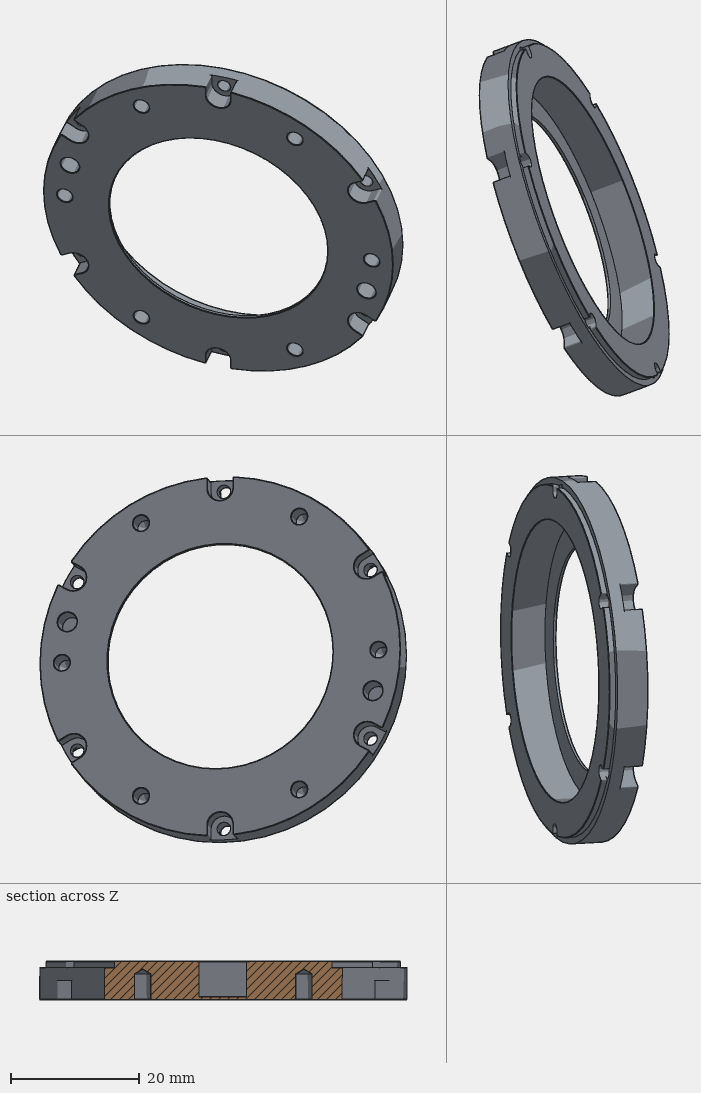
import cadquery as cq
import math

outer_radius = 28.5
bore_radius = 17.8
thickness = 6.0
spigot_height = 1.0
spigot_setback = 1.0
spigot_radius = outer_radius - spigot_setback
edge_chamfer = 0.1

lip_thickness = 0.5
counterbore_radius = 22.0

screw_count = 6
screw_circle_radius = 26.75
screw_start_angle = 30.0
screw_hole_radius = 1.05
screw_pocket_radius = 2.0
screw_pocket_depth = 3.0
mouth_fillet = 0.25

blind_circle_radius = 25.0
tapped_count = 6
tapped_radius = 1.25
tapped_depth = 4.0
drill_point_angle = 118.0
dowel_angles = (165.0, 345.0)
dowel_radius = 1.5
dowel_depth = 4.0


def ring_body():
    """Flanged ring with a reduced spigot on the back and a counterbore behind the lip."""
    shoulder = thickness - spigot_height
    profile = (
        cq.Workplane("XY")
        .moveTo(bore_radius, 0)
        .lineTo(outer_radius, 0)
        .lineTo(outer_radius, shoulder)
        .lineTo(spigot_radius, shoulder)
        .lineTo(spigot_radius, thickness - edge_chamfer)
        .lineTo(spigot_radius - edge_chamfer, thickness)
        .lineTo(counterbore_radius + edge_chamfer, thickness)
        .lineTo(counterbore_radius, thickness - edge_chamfer)
        .lineTo(counterbore_radius, lip_thickness)
        .lineTo(bore_radius, lip_thickness)
        .close()
    )
    return profile.revolve(360, (0, 0, 0), (0, 1, 0))


def place(cutter, radius, angle):
    """Move a cutter built along +X at the origin out to a radius, then turn it about the Y axis."""
    return cutter.translate((radius, 0, 0)).rotate((0, 0, 0), (0, 1, 0), -angle)


def open_slot(half_width, rim_radius, y_start, y_end):
    """Slot with a round inner end, open to the rim through a mouth with rounded corners."""
    fillet_x = math.sqrt((rim_radius - mouth_fillet) ** 2 - (half_width + mouth_fillet) ** 2)
    fillet_z = half_width + mouth_fillet
    rim_scale = rim_radius / (rim_radius - mouth_fillet)
    rim_x = fillet_x * rim_scale
    rim_z = fillet_z * rim_scale
    middle_angle = (math.atan2(fillet_z, fillet_x) - math.pi / 2) / 2
    middle_x = fillet_x + mouth_fillet * math.cos(middle_angle)
    middle_z = fillet_z + mouth_fillet * math.sin(middle_angle)
    beyond_x = outer_radius + half_width

    def local(x, z):
        return (x - screw_circle_radius, z)

    return (
        cq.Workplane("XZ", origin=(0, y_start, 0))
        .moveTo(*local(fillet_x, half_width))
        .threePointArc(local(middle_x, middle_z), local(rim_x, rim_z))
        .lineTo(*local(beyond_x, rim_z))
        .lineTo(*local(beyond_x, -rim_z))
        .lineTo(*local(rim_x, -rim_z))
        .threePointArc(local(middle_x, -middle_z), local(fillet_x, -half_width))
        .lineTo(0, -half_width)
        .threePointArc((-half_width, 0), (0, half_width))
        .close()
        .extrude(y_start - y_end)
    )


def screw_seat():
    """Pocket from the front, through hole, and the notch where the hole breaks out of the spigot."""
    pocket = open_slot(screw_pocket_radius, outer_radius, 0, screw_pocket_depth)
    hole = cq.Workplane("XZ").circle(screw_hole_radius).extrude(-thickness)
    notch = open_slot(screw_hole_radius, spigot_radius, thickness - spigot_height, thickness)
    return pocket.union(hole).union(notch)


def blind_hole(radius, depth, point_depth):
    """Blind hole from the front face; a point depth of zero leaves a flat bottom."""
    profile = (
        cq.Workplane("XY")
        .lineTo(radius, 0)
        .lineTo(radius, depth)
        .lineTo(0, depth + point_depth)
        .close()
    )
    return profile.revolve(360, (0, 0, 0), (0, 1, 0))


result = ring_body()

seat = screw_seat()
for index in range(screw_count):
    seat_angle = screw_start_angle + index * 360 / screw_count
    result = result.cut(place(seat, screw_circle_radius, seat_angle))

drill_point_depth = tapped_radius / math.tan(math.radians(drill_point_angle / 2))
tapped_hole = blind_hole(tapped_radius, tapped_depth, drill_point_depth)
for index in range(tapped_count):
    result = result.cut(place(tapped_hole, blind_circle_radius, index * 360 / tapped_count))

dowel_hole = blind_hole(dowel_radius, dowel_depth, 0)
for dowel_angle in dowel_angles:
    result = result.cut(place(dowel_hole, blind_circle_radius, dowel_angle))

result = result.faces("<Y").edges().chamfer(edge_chamfer)